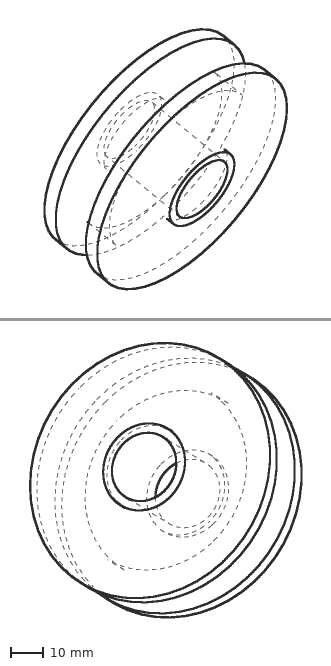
import cadquery as cq

FLANGE_DIAMETER = 82.0
TREAD_DIAMETER = 61.0
HUB_DIAMETER = 28.0
BORE_DIAMETER = 22.0

OVERALL_WIDTH = 32.5
FLANGE_SPAN = 23.6
GROOVE_WIDTH = 13.45

HUB_FILLET = 2.05
GROOVE_FILLET = 0.5


def disc(diameter, width):
    """Cylinder along X, centred on the origin."""
    return cq.Workplane("YZ").circle(diameter / 2).extrude(width / 2, both=True)


def corner_ring(shaft_diameter, face_x, outward, radius):
    """Concave fillet ring where a shaft meets a face; outward is the X sign of the free side."""
    shaft_radius = shaft_diameter / 2
    offset = radius * outward
    arc_reach = radius * (1 - 0.5 ** 0.5)
    return (
        cq.Workplane("XY")
        .moveTo(face_x, shaft_radius)
        .lineTo(face_x + offset, shaft_radius)
        .threePointArc(
            (face_x + arc_reach * outward, shaft_radius + arc_reach),
            (face_x, shaft_radius + radius),
        )
        .close()
        .revolve(360, (0, 0, 0), (1, 0, 0))
    )


groove = disc(FLANGE_DIAMETER, GROOVE_WIDTH).cut(disc(TREAD_DIAMETER, GROOVE_WIDTH))
body = disc(FLANGE_DIAMETER, FLANGE_SPAN).cut(groove).union(disc(HUB_DIAMETER, OVERALL_WIDTH))

for side in (-1, 1):
    body = body.union(corner_ring(HUB_DIAMETER, side * FLANGE_SPAN / 2, side, HUB_FILLET))
    body = body.union(corner_ring(TREAD_DIAMETER, side * GROOVE_WIDTH / 2, -side, GROOVE_FILLET))

result = body.cut(disc(BORE_DIAMETER, OVERALL_WIDTH))